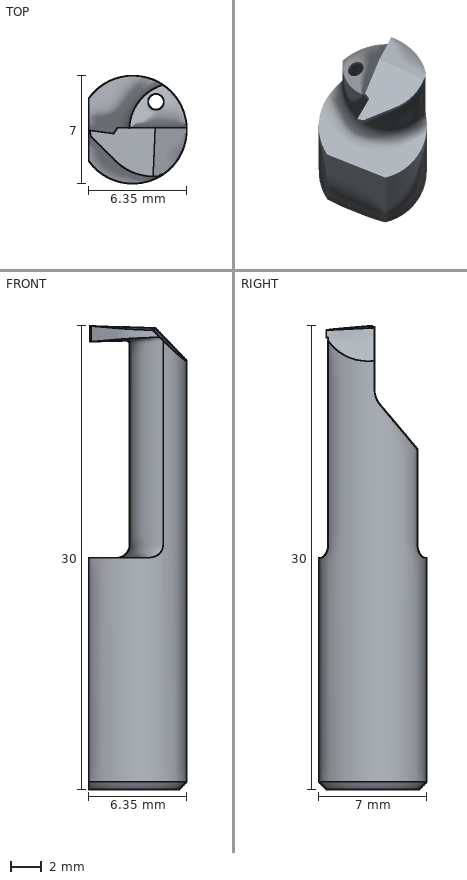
import cadquery as cq
import math

shank_radius = 3.5
shank_length = 15.0
shank_chamfer = 0.5
flat_x = -2.85
overall_length = 30.0

neck_radius = 3.02
neck_left_x = -0.22
neck_center_x = neck_left_x + neck_radius
neck_fillet = 0.8

tip_thickness = 1.05
relief_angle_x = 2.0
relief_angle_y = 3.0
tip = (-2.78, -0.05)
tip_flank_end = (-2.7, -0.45)
flank_end = (-0.97, -2.16)
head_arc_center = (1.3, 0.4)
rake_groove = (-1.235, -0.255)
rake_groove_end_x = -1.0
head_fillet = 0.2

head_corner_y = -1.5

chip_face_y = 0.12
slope_start_z = 25.32
slope_angle = 40.0
slope_fillet = 1.5

bevel_start_x = 1.46
bevel_angle = 46.0
bevel_side_tilt = 5.5

coolant_diameter = 1.0
coolant_center = (1.5, 1.8)

block = 40.0


def slope(angle):
    return math.tan(math.radians(angle))


def make_shank():
    shank = cq.Workplane("XY").circle(shank_radius).extrude(shank_length)
    shank = shank.faces("<Z").chamfer(shank_chamfer)
    beyond_flat = cq.Workplane("XY").box(block, block, 2 * block).translate((flat_x - block / 2, 0, 0))
    return shank.cut(beyond_flat)


def trim_to_shank(body):
    return body.intersect(cq.Workplane("XY").circle(shank_radius).extrude(overall_length))


def make_neck():
    """Neck with a concave fillet at its foot, revolved about the neck axis."""
    foot_radius = neck_radius + neck_fillet
    fillet_top = shank_length + neck_fillet
    diagonal = neck_fillet * math.sqrt(0.5)
    profile = (
        cq.Workplane("XZ")
        .moveTo(0, shank_length - neck_fillet)
        .lineTo(foot_radius, shank_length - neck_fillet)
        .lineTo(foot_radius, shank_length)
        .threePointArc((foot_radius - diagonal, fillet_top - diagonal), (neck_radius, fillet_top))
        .lineTo(neck_radius, overall_length)
        .lineTo(0, overall_length)
        .close()
    )
    neck = profile.revolve(360, (0, 0, 0), (0, 1, 0)).translate((neck_center_x, 0, 0))
    return trim_to_shank(neck)


def half_space(point, normal):
    """Block filling the side of a plane that its normal points to."""
    plane = cq.Plane(origin=point, xDir=(normal[2], 0, -normal[0]), normal=normal)
    return cq.Workplane(plane).rect(block, block).extrude(block)


def make_head():
    """Hooked plate with the cutting tip, its underside rising away from the tip."""
    center_x, center_y = head_arc_center
    arc_radius = math.hypot(flank_end[0] - center_x, flank_end[1] - center_y)
    arc_end_x = center_x + math.sqrt(arc_radius**2 - (chip_face_y - center_y) ** 2)
    plate_bottom = overall_length - 2 * tip_thickness
    plate = (
        cq.Workplane("XY", origin=(0, 0, plate_bottom))
        .moveTo(*tip)
        .lineTo(*tip_flank_end)
        .lineTo(*flank_end)
        .threePointArc((center_x, center_y - arc_radius), (arc_end_x, chip_face_y))
        .lineTo(rake_groove_end_x, chip_face_y)
        .lineTo(*rake_groove)
        .close()
        .extrude(2 * tip_thickness)
    )
    under_tip = (tip[0], tip[1], overall_length - tip_thickness)
    underside = half_space(under_tip, (slope(relief_angle_x), -slope(relief_angle_y), -1))
    return trim_to_shank(plate.cut(underside))


def make_chip_cut():
    """Prism along X that opens the chip face and its sloped run-out."""
    slope_run = shank_radius
    slope_drop = slope_run / slope(slope_angle)
    cut = (
        cq.Workplane("YZ", origin=(-block / 2, 0, 0))
        .moveTo(chip_face_y, block)
        .lineTo(chip_face_y, slope_start_z)
        .lineTo(chip_face_y + slope_run, slope_start_z - slope_drop)
        .lineTo(chip_face_y + slope_run, block)
        .close()
        .extrude(block)
    )
    corner = cq.selectors.NearestToPointSelector((0, chip_face_y, slope_start_z))
    return cut.edges(corner).fillet(slope_fillet)


def fillet_under_head(body):
    """Round the inner corner where the neck meets the underside of the head."""
    corner_z = overall_length - tip_thickness + (neck_left_x - tip[0]) * slope(relief_angle_x)
    corner = cq.selectors.NearestToPointSelector((neck_left_x, head_corner_y, corner_z))
    return body.edges(corner).fillet(head_fillet)


def make_top_relief():
    """Material above the tilted top face, which falls away from the tip."""
    tip_top = (tip[0], tip[1], overall_length)
    return half_space(tip_top, (slope(relief_angle_x), -slope(relief_angle_y), 1))


def make_end_bevel():
    """Material beyond the steep bevel on the +X side of the top."""
    start_z = overall_length - (bevel_start_x - tip[0]) * slope(relief_angle_x)
    bevel_normal = (slope(bevel_angle), -slope(bevel_side_tilt), 1)
    return half_space((bevel_start_x, chip_face_y, start_z), bevel_normal)


def make_coolant_hole():
    return cq.Workplane("XY").center(*coolant_center).circle(coolant_diameter / 2).extrude(overall_length)


body = make_shank().union(make_neck()).union(make_head())
body = body.cut(make_chip_cut())
body = fillet_under_head(body)
body = body.cut(make_top_relief())
body = body.cut(make_end_bevel())
result = body.cut(make_coolant_hole())